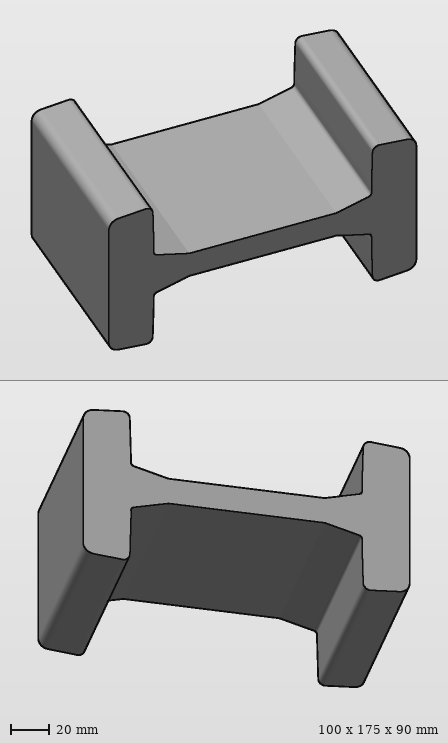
import cadquery as cq
import math

length = 100.0
width = 175.0
height = 90.0

web_thickness = 15.0
flat_half_width = 41.8
shoulder_angle = math.radians(15)

end_angle = math.radians(5)
draft_angle = math.radians(1.5)
flange_tip_thickness = 25.0
draft_end_z = 19.0
outer_radius = 6.0
tip_radius = 3.8
root_radius = 2.3

half_width = width / 2
half_web = web_thickness / 2

tip_center_z = height / 2 - tip_radius
tip_face_y = half_width - flange_tip_thickness
tip_center_y = tip_face_y + tip_radius / math.cos(draft_angle)

end_z_at_face = (
    tip_center_z
    + tip_radius / math.cos(end_angle)
    + (tip_center_y - tip_face_y) * math.tan(end_angle)
)
tip_rise = end_z_at_face - tip_center_z
tip_shift = tip_rise * math.tan(draft_angle) / (1 - math.tan(draft_angle) * math.tan(end_angle))
tip_y = tip_face_y + tip_shift
tip_z = end_z_at_face - tip_shift * math.tan(end_angle)

outer_z = tip_z - (half_width - tip_y) * math.tan(end_angle)

land_y = tip_face_y - (tip_center_z - draft_end_z) * math.tan(draft_angle)
root_z = half_web + (land_y - flat_half_width) * math.tan(shoulder_angle)

outer_corner = (half_width, outer_z)
tip_corner = (tip_y, tip_z)
draft_end = (land_y, draft_end_z)
root_corner = (land_y, root_z)


def sharp_profile():
    """Closed H outline with sharp corners, mirrored about Y and Z."""
    shoulder_end = (flat_half_width, half_web)
    quarter = [outer_corner, tip_corner, draft_end, root_corner, shoulder_end]
    upper = quarter + [(-y, z) for y, z in reversed(quarter)]
    lower = [(y, -z) for y, z in reversed(upper)]
    return cq.Workplane("YZ").polyline(upper + lower).close()


def round_corner(body, corner, radius):
    """Round the four mirrored edges that run along X through the corner."""
    y, z = corner
    for y_side in (-1, 1):
        for z_side in (-1, 1):
            edge_middle = (0, y_side * y, z_side * z)
            edge = body.edges("|X").edges(cq.selectors.NearestToPointSelector(edge_middle))
            body = edge.fillet(radius)
    return body


result = sharp_profile().extrude(length / 2, both=True)
result = round_corner(result, outer_corner, outer_radius)
result = round_corner(result, tip_corner, tip_radius)
result = round_corner(result, root_corner, root_radius)